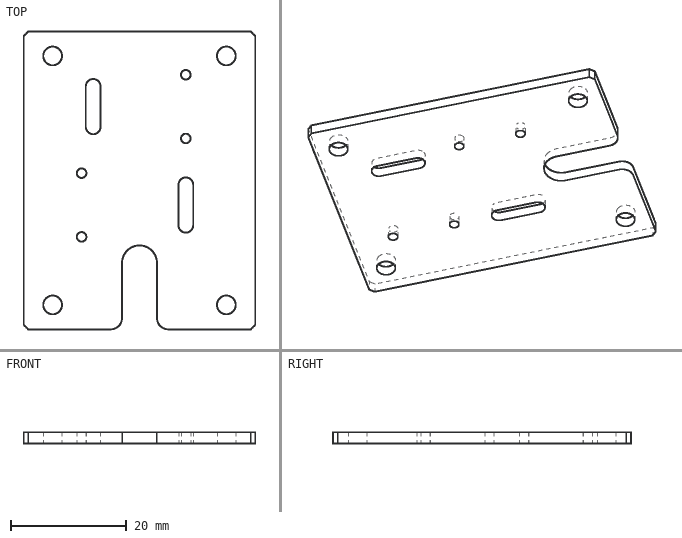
import cadquery as cq

width = 40.0
length = 51.5
thickness = 2.0
corner_chamfer = 0.8

mount_diameter = 3.2
mount_spacing_x = 30.0
mount_spacing_y = 43.0

pilot_diameter = 1.62
pilot_spacing = 11.0
slot_width = 2.5
slot_length = 9.5
upper_station_y = 12.75
lower_station_y = -4.25
stations = [
    (upper_station_y, 8.0, -8.0),
    (lower_station_y, -10.0, 8.0),
]

notch_width = 6.0
notch_depth = 14.5
notch_mouth_radius = 2.0


def make_plate():
    plate = cq.Workplane("XY").box(width, length, thickness, centered=(True, True, False))
    return plate.edges("|Z").chamfer(corner_chamfer)


def cut_notch(plate):
    """Cut the notch with a semicircular end and flared, rounded mouth corners."""
    half_width = notch_width / 2
    mouth_half_width = half_width + notch_mouth_radius
    edge_y = -length / 2
    flare_y = edge_y + notch_mouth_radius
    tip_y = edge_y + notch_depth
    arc_start_y = tip_y - half_width
    notch = (
        cq.Workplane("XY")
        .moveTo(-mouth_half_width, edge_y)
        .radiusArc((-half_width, flare_y), -notch_mouth_radius)
        .lineTo(-half_width, arc_start_y)
        .threePointArc((0, tip_y), (half_width, arc_start_y))
        .lineTo(half_width, flare_y)
        .radiusArc((mouth_half_width, edge_y), -notch_mouth_radius)
        .close()
        .extrude(thickness)
    )
    return plate.cut(notch)


def cut_mounting_holes(plate):
    holes = (
        cq.Workplane("XY")
        .rarray(mount_spacing_x, mount_spacing_y, 2, 2)
        .circle(mount_diameter / 2)
        .extrude(thickness)
    )
    return plate.cut(holes)


def cut_station(plate, center_y, pilot_x, slot_x):
    """Cut one pair of pilot holes and the slot level with it."""
    pilots = (
        cq.Workplane("XY")
        .center(pilot_x, center_y)
        .rarray(1, pilot_spacing, 1, 2)
        .circle(pilot_diameter / 2)
        .extrude(thickness)
    )
    slot = (
        cq.Workplane("XY")
        .center(slot_x, center_y)
        .slot2D(slot_length, slot_width, 90)
        .extrude(thickness)
    )
    return plate.cut(pilots).cut(slot)


result = make_plate()
result = cut_notch(result)
result = cut_mounting_holes(result)
for station_y, pilot_x, slot_x in stations:
    result = cut_station(result, station_y, pilot_x, slot_x)